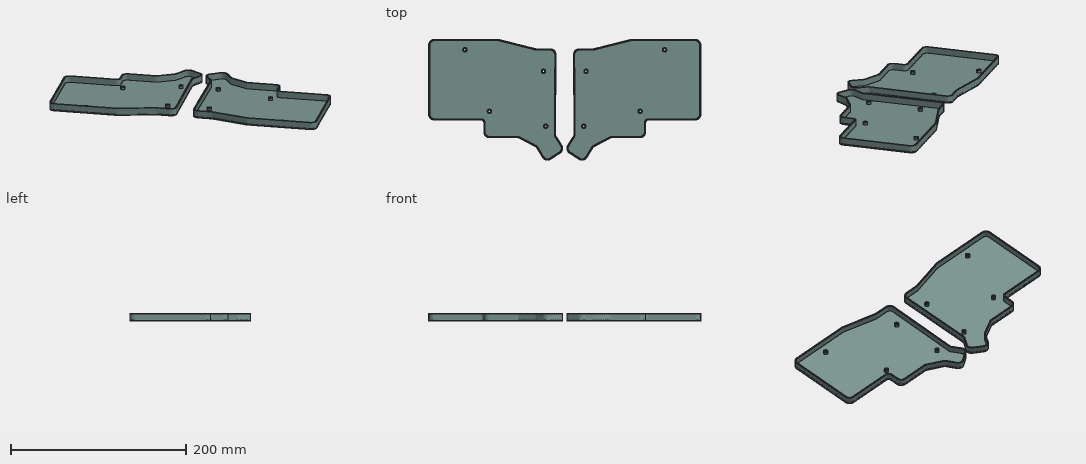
import cadquery as cq
import math

half_width = 155.3
tray_height = 8.5
wall = 1.35
floor_thickness = 1.0

convex_radius = 6.5
concave_radius = 3.5

back_y = 92.0
shoulder_y = 81.0
step_y = -20.2
step_x = -92.3

slope_start = (-75.8, back_y)
slope_end = (-32.5, shoulder_y)
shoulder_corner = (-10.0, shoulder_y)
thumb_inner_root = (-10.5, -17.7)
thumb_inner_corner = (0, -34.2)
thumb_front_corner = (-21.7, -48.5)
thumb_outer_root = (-32.5, -30.8)
step_end = (-52.8, step_y)
step_root = (step_x, 0)
outline = [
    (-half_width, 0),
    (-half_width, back_y),
    slope_start,
    slope_end,
    shoulder_corner,
    thumb_inner_root,
    thumb_inner_corner,
    thumb_front_corner,
    thumb_outer_root,
    step_end,
    (step_x, step_y),
    step_root,
]
concave_corners = [slope_end, thumb_inner_root, thumb_outer_root, step_end, step_root]
convex_corners = [corner for corner in outline if corner not in concave_corners]

post_diameter = 5.0
post_height = 2.73
screw_hole_diameter = 2.9
post_centers = [(-114.0, 80.0), (-24.2, 55.5), (-86.0, 10.0), (-21.7, -7.0)]


def edges_at(block, corners):
    """Upright edges of the block that stand on the given outline corners."""
    tolerance = 0.03

    def on_a_corner(edge):
        place = edge.Center()
        return any(math.dist((place.x, place.y), corner) < tolerance for corner in corners)

    return block.edges("|Z").filter(on_a_corner)


def rounded_block():
    """Solid block with the tray's outer shape."""
    block = cq.Workplane("XY").polyline(outline).close().extrude(tray_height)
    block = edges_at(block, convex_corners).fillet(convex_radius)
    return edges_at(block, concave_corners).fillet(concave_radius)


def cavity(block):
    """Space inside the wall, from the floor up to the open top."""
    rim = block.faces(">Z").wires().toPending()
    return rim.offset2D(-wall).extrude(floor_thickness - tray_height, combine=False)


def post_cylinders(diameter):
    """Upright cylinders from the underside of the floor to the post tops."""
    height = floor_thickness + post_height
    return cq.Workplane("XY").pushPoints(post_centers).circle(diameter / 2).extrude(height)


def make_left_tray():
    """Open tray: floor, surrounding wall and hollow screw posts."""
    block = rounded_block()
    shell = block.cut(cavity(block))
    return shell.union(post_cylinders(post_diameter)).cut(post_cylinders(screw_hole_diameter))


left_tray = make_left_tray()
right_tray = left_tray.mirror("YZ")

result = cq.Compound.makeCompound([left_tray.val(), right_tray.val()])